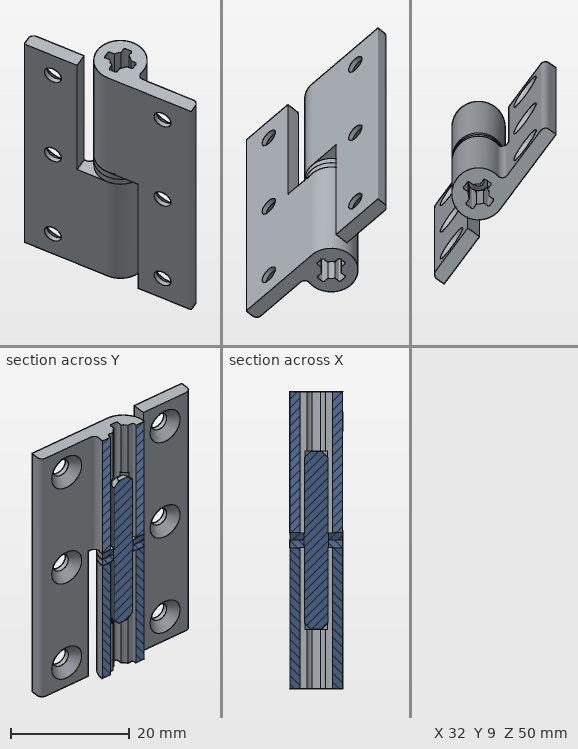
import cadquery as cq
import math


height = 50.0
width = 32.0
barrel_radius = 4.5
washer_thickness = 1.25

plate_thickness = 2.5
outer_edge_radius = 1.0
back_edge_radius = 0.1
root_fillet_radius = 1.0
clearance_edge_x = 5.85

screw_hole_diameter = 3.2
screw_hole_land = 0.9
screw_hole_x = 10.5
screw_hole_pitch = 20.0

pin_radius = 2.0
pin_length = 30.0
pin_tip_chamfer = 1.05
bore_radius = 1.75
bore_slot_width = 1.5
bore_slot_span = 5.4
bore_slot_corner_radius = 0.25

half_height = height / 2
half_width = width / 2
pin_half_length = pin_length / 2
plate_back_y = -barrel_radius
plate_front_y = plate_back_y + plate_thickness


def arc_point(center_x, center_y, radius, angle):
    """Point on a circle at an angle from +X, in radians."""
    return (center_x + radius * math.cos(angle), center_y + radius * math.sin(angle))


def leaf_outline():
    """Barrel and plate section, with the plate on the +X side."""
    fillet_y = plate_front_y + root_fillet_radius
    fillet_x = math.sqrt((barrel_radius + root_fillet_radius) ** 2 - fillet_y**2)
    tangent_angle = math.atan2(fillet_y, fillet_x)
    barrel_tangent = arc_point(0, 0, barrel_radius, tangent_angle)
    middle_angle = (3 * math.pi / 2 + math.pi + tangent_angle) / 2
    fillet_middle = arc_point(fillet_x, fillet_y, root_fillet_radius, middle_angle)
    outer_middle = arc_point(
        half_width - outer_edge_radius,
        plate_front_y - outer_edge_radius,
        outer_edge_radius,
        math.pi / 4,
    )
    back_middle = arc_point(
        half_width - back_edge_radius, plate_back_y + back_edge_radius, back_edge_radius, -math.pi / 4
    )
    return (
        cq.Workplane("XY")
        .moveTo(0, plate_back_y)
        .lineTo(half_width - back_edge_radius, plate_back_y)
        .threePointArc(back_middle, (half_width, plate_back_y + back_edge_radius))
        .lineTo(half_width, plate_front_y - outer_edge_radius)
        .threePointArc(outer_middle, (half_width - outer_edge_radius, plate_front_y))
        .lineTo(fillet_x, plate_front_y)
        .threePointArc(fillet_middle, barrel_tangent)
        .threePointArc((-barrel_radius, 0), (0, plate_back_y))
        .close()
    )


def cross_bore():
    """Round bore with four keyway slots, through the whole barrel."""
    bore = cq.Workplane("XY").circle(bore_radius).extrude(half_height)
    slot = (
        cq.Workplane("XY")
        .rect(bore_slot_span, bore_slot_width)
        .extrude(half_height)
        .edges("|Z")
        .fillet(bore_slot_corner_radius)
    )
    return bore.union(slot).union(slot.rotate((0, 0, 0), (0, 0, 1), 90))


def screw_hole():
    """Hole through the plate, with a 90 degree countersink on the barrel side."""
    hole_radius = screw_hole_diameter / 2
    countersink_depth = plate_thickness - screw_hole_land
    countersink_y = plate_back_y + screw_hole_land
    countersink_radius = hole_radius + countersink_depth
    return (
        cq.Workplane("XY")
        .moveTo(0, plate_back_y)
        .lineTo(hole_radius, plate_back_y)
        .lineTo(hole_radius, countersink_y)
        .lineTo(countersink_radius, plate_front_y)
        .lineTo(0, plate_front_y)
        .close()
        .revolve(360, (0, 0, 0), (0, 1, 0))
    )


def upper_leaf():
    profile = leaf_outline().extrude(height).translate((0, 0, -half_height))
    clearance_width = clearance_edge_x + barrel_radius
    clearance = (
        cq.Workplane("XY")
        .box(clearance_width, 2 * barrel_radius, half_height + washer_thickness, centered=(False, True, False))
        .translate((-barrel_radius, 0, -half_height))
    )
    pin_hole = cq.Workplane("XY").circle(pin_radius).extrude(pin_half_length)
    leaf = profile.cut(clearance).cut(cross_bore()).cut(pin_hole)
    for row in (-1, 0, 1):
        leaf = leaf.cut(screw_hole().translate((screw_hole_x, 0, row * screw_hole_pitch)))
    return leaf


def washer():
    return cq.Workplane("XY").circle(barrel_radius).circle(pin_radius).extrude(washer_thickness)


def hinge_pin():
    return (
        cq.Workplane("XY")
        .circle(pin_radius)
        .extrude(pin_half_length, both=True)
        .faces("<Z or >Z")
        .chamfer(pin_tip_chamfer)
    )


def half_turn(body):
    """Turn a body about Y, from the upper right to the lower left of the hinge."""
    return body.rotate((0, 0, 0), (0, 1, 0), 180)


leaves = [upper_leaf(), half_turn(upper_leaf())]
washers = [washer(), half_turn(washer())]
pin = hinge_pin()

result = cq.Compound.makeCompound([body.val() for body in [*leaves, *washers, pin]])